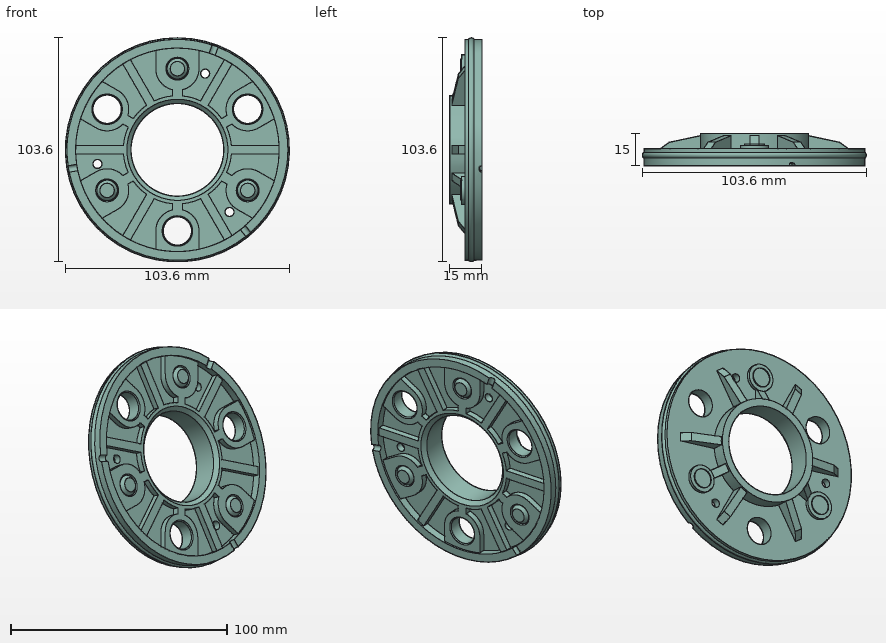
import cadquery as cq


FLANGE_DIAMETER = 102.0
FLANGE_THICKNESS = 8.0
HUB_DIAMETER = 50.0
HUB_BACK = 15.0
BORE_DIAMETER = 42.7
BORE_CHAMFER = 2.0

POCKET_DIAMETER = 94.0
POCKET_FLOOR = 4.1
INNER_FACE = 1.0

RIB_COUNT = 6
RIB_STEP = 360 / RIB_COUNT
RIB_ANGLES = [i * RIB_STEP for i in range(RIB_COUNT)]
RIB_WIDTH = 4.0
RIB_ROOT_RADIUS = (HUB_DIAMETER + BORE_DIAMETER) / 4
RIB_ROOT_BACK = 14.4
RIB_KNEE_RADIUS = 39.3
RIB_KNEE_BACK = 11.0
RIB_END_RADIUS = 43.5

BOSS_ANGLES = [angle + RIB_STEP / 2 for angle in RIB_ANGLES]
PORT_ANGLES = BOSS_ANGLES[0::2]
PIN_ANGLES = BOSS_ANGLES[1::2]
BOSS_CIRCLE_RADIUS = 37.5
BOSS_WIDTH = 20.0
BOSS_NECK_WIDTH = 4.6
PORT_DIAMETER = 13.0
MOUTH_CHAMFER = 0.5

PIN_DIAMETER = 9.5
PIN_SHOULDER = INNER_FACE + MOUTH_CHAMFER
PIN_NOSE_DIAMETER = 6.6
PIN_NOSE_FRONT = 0.0
PIN_TAIL_DIAMETER = 9.1
PIN_BACK = 10.0
COLLAR_DIAMETER = 13.0
COLLAR_BACK = 9.5
GUSSET_ROOT_BACK = 14.0

MARK_ANGLES = (70, 190, 310)
SMALL_HOLE_DIAMETER = 4.0
NOTCH_RADIUS = 1.5

SEAL_OUTER_RADIUS = 51.8
SEAL_SECTION_RADIUS = 1.6
SEAL_MIDDLE = 5.0


def disc(diameter, front, back, radius=0):
    """A disc between two Y positions, centred on the X axis at the given radius."""
    return (
        cq.Workplane("XZ", origin=(radius, front, 0))
        .circle(diameter / 2)
        .extrude(front - back)
    )


def bar(start, end, width, front, back):
    """A rectangular bar along +X from one radius to another."""
    return (
        cq.Workplane("XZ", origin=((start + end) / 2, front, 0))
        .rect(end - start, width)
        .extrude(front - back)
    )


def mouth(diameter, chamfer, radius=0):
    """The cone that chamfers the front edge of a hole."""
    hole_radius = diameter / 2
    cone = cq.Solid.makeCone(
        hole_radius + chamfer,
        hole_radius,
        chamfer,
        cq.Vector(radius, INNER_FACE, 0),
        cq.Vector(0, 1, 0),
    )
    return cq.Workplane(cone)


def around(shape, angles):
    """Copies of a shape that lies along +X, turned to each of the angles."""
    return [shape.rotate((0, 0, 0), (0, -1, 0), angle) for angle in angles]


def add_all(body, shapes):
    for shape in shapes:
        body = body.union(shape)
    return body


def cut_all(body, shapes):
    for shape in shapes:
        body = body.cut(shape)
    return body


def upright_plate(profile):
    """A plate of rib width whose side profile is given as (radius, Y) points."""
    return cq.Workplane("XY").polyline(profile).close().extrude(RIB_WIDTH / 2, both=True)


def make_front_rib():
    return bar(RIB_ROOT_RADIUS, FLANGE_DIAMETER / 2, RIB_WIDTH, INNER_FACE, POCKET_FLOOR)


def make_front_boss():
    """A boss that is round towards the hub, joined to the hub by a neck and to the rim."""
    rim = FLANGE_DIAMETER / 2
    head = disc(BOSS_WIDTH, INNER_FACE, POCKET_FLOOR, BOSS_CIRCLE_RADIUS)
    body = bar(BOSS_CIRCLE_RADIUS, rim, BOSS_WIDTH, INNER_FACE, POCKET_FLOOR)
    neck = bar(RIB_ROOT_RADIUS, BOSS_CIRCLE_RADIUS, BOSS_NECK_WIDTH, INNER_FACE, POCKET_FLOOR)
    return head.union(body).union(neck)


def make_back_rib():
    return upright_plate([
        (RIB_ROOT_RADIUS, FLANGE_THICKNESS),
        (RIB_ROOT_RADIUS, RIB_ROOT_BACK),
        (RIB_KNEE_RADIUS, RIB_KNEE_BACK),
        (RIB_END_RADIUS, FLANGE_THICKNESS),
    ])


def make_gusset():
    """A brace that slopes from the hub down to the near edge of a collar."""
    return upright_plate([
        (RIB_ROOT_RADIUS, FLANGE_THICKNESS),
        (RIB_ROOT_RADIUS, GUSSET_ROOT_BACK),
        (HUB_DIAMETER / 2, GUSSET_ROOT_BACK),
        (BOSS_CIRCLE_RADIUS - COLLAR_DIAMETER / 2, COLLAR_BACK),
        (BOSS_CIRCLE_RADIUS, COLLAR_BACK),
        (BOSS_CIRCLE_RADIUS, FLANGE_THICKNESS),
    ])


def make_pin():
    """A pin along Y at the boss circle, on the +X side."""
    half_section = [
        (0, PIN_NOSE_FRONT),
        (PIN_NOSE_DIAMETER / 2, PIN_NOSE_FRONT),
        (PIN_DIAMETER / 2, PIN_SHOULDER),
        (PIN_DIAMETER / 2, FLANGE_THICKNESS),
        (PIN_TAIL_DIAMETER / 2, FLANGE_THICKNESS),
        (PIN_TAIL_DIAMETER / 2, PIN_BACK),
        (0, PIN_BACK),
    ]
    pin = cq.Workplane("XY").polyline(half_section).close().revolve(360, (0, 0, 0), (0, 1, 0))
    return pin.translate((BOSS_CIRCLE_RADIUS, 0, 0))


def make_seal():
    ring = cq.Solid.makeTorus(
        SEAL_OUTER_RADIUS - SEAL_SECTION_RADIUS,
        SEAL_SECTION_RADIUS,
        cq.Vector(0, SEAL_MIDDLE, 0),
        cq.Vector(0, 1, 0),
    )
    return cq.Workplane(ring)


def make_web():
    """Everything inside the rim that stands up from the pocket floor."""
    web = disc(HUB_DIAMETER, INNER_FACE, HUB_BACK)
    web = add_all(web, around(make_front_rib(), RIB_ANGLES))
    web = add_all(web, around(make_front_boss(), BOSS_ANGLES))
    return web.intersect(disc(POCKET_DIAMETER, 0, HUB_BACK))


def cut_pin_seats(body):
    bore = disc(PIN_DIAMETER, INNER_FACE, FLANGE_THICKNESS, BOSS_CIRCLE_RADIUS)
    tail_bore = disc(PIN_TAIL_DIAMETER, FLANGE_THICKNESS, COLLAR_BACK, BOSS_CIRCLE_RADIUS)
    seat = bore.union(tail_bore).union(mouth(PIN_DIAMETER, MOUTH_CHAMFER, BOSS_CIRCLE_RADIUS))
    return cut_all(body, around(seat, PIN_ANGLES))


def cut_ports(body):
    port = disc(PORT_DIAMETER, INNER_FACE, FLANGE_THICKNESS, BOSS_CIRCLE_RADIUS)
    port = port.union(mouth(PORT_DIAMETER, MOUTH_CHAMFER, BOSS_CIRCLE_RADIUS))
    return cut_all(body, around(port, PORT_ANGLES))


def cut_marks(body):
    """Small through holes, and half-round notches across the rim face."""
    hole = disc(SMALL_HOLE_DIAMETER, 0, FLANGE_THICKNESS, BOSS_CIRCLE_RADIUS)
    notch_start = BOSS_CIRCLE_RADIUS + SMALL_HOLE_DIAMETER
    notch = (
        cq.Workplane("YZ", origin=(notch_start, 0, 0))
        .circle(NOTCH_RADIUS)
        .extrude(SEAL_OUTER_RADIUS - notch_start)
    )
    body = cut_all(body, around(hole, MARK_ANGLES))
    return cut_all(body, around(notch, MARK_ANGLES))


def make_housing():
    body = disc(FLANGE_DIAMETER, 0, FLANGE_THICKNESS)
    body = body.cut(disc(POCKET_DIAMETER, 0, POCKET_FLOOR)).union(make_web())

    collar = disc(COLLAR_DIAMETER, FLANGE_THICKNESS, COLLAR_BACK, BOSS_CIRCLE_RADIUS)
    body = add_all(body, around(make_back_rib(), RIB_ANGLES))
    body = add_all(body, around(make_gusset(), PIN_ANGLES))
    body = add_all(body, around(collar, PIN_ANGLES))

    body = body.cut(disc(BORE_DIAMETER, 0, HUB_BACK)).cut(mouth(BORE_DIAMETER, BORE_CHAMFER))
    body = cut_pin_seats(body)
    body = cut_ports(body)
    body = cut_marks(body)
    return body.cut(make_seal())


housing = make_housing()
seal = make_seal()
pins = around(make_pin(), PIN_ANGLES)

result = cq.Compound.makeCompound([housing.val(), seal.val(), *[pin.val() for pin in pins]])